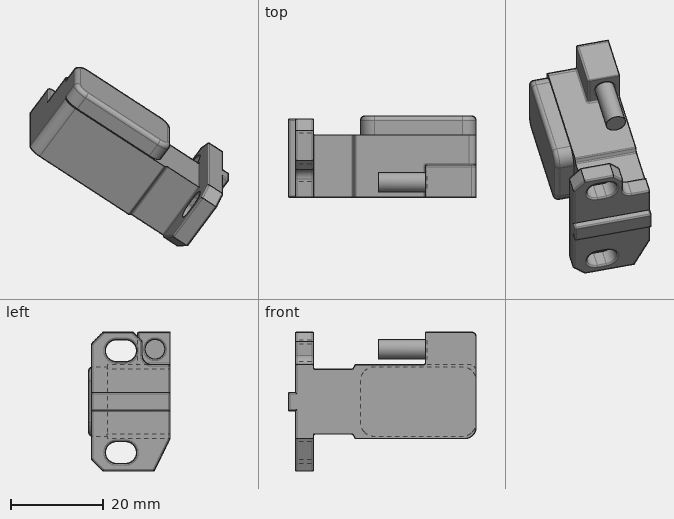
import cadquery as cq
import math

length = 40.55
height = 30.0
plate_front = 1.5
plate_back = 5.47
plate_width = 16.95
far_corner_cut = 2.5
near_corner_cut = 2.0
notch_width = 6.0
notch_radius = 2.0
flank_width = 3.45
plate_edge_radius = 0.32

rib_height = 4.0
rib_edge_radius = 0.32

slot_diameter = 4.7
slot_spread = 2.0
slot_y = 10.6
slot_edge_distance = 4.0
slot_mouth_radius = 0.35

mid_z = height / 2
body_width = 13.5
body_height = 16.0
neck_height = 14.07
body_bottom = mid_z - body_height / 2
body_top = mid_z + body_height / 2
neck_bottom = mid_z - neck_height / 2
neck_top = mid_z + neck_height / 2
step_start = 13.9
step_angle = 60.0
step_radius = 0.32
neck_root_radius = 0.2
body_top_radius = 1.5
body_bottom_radius = 2.5

pad_start = 15.57
pad_size_z = 15.0
pad_corner_radius = 3.0
pad_top = 17.6
pad_edge_radius = 1.0

block_start = 29.55
block_width = 7.0
block_back_radius = 1.0
block_side_radius = 0.4
block_front_radius = 0.2
block_root_radius = 0.32

pin_diameter = 4.25
pin_start = 19.42
pin_y = 3.25
pin_z = 26.3
pin_seat_radius = 0.32
pin_seat_depth = 2.03

overlap = 0.4


def make_plate():
    """Notched plate, rounded all round on its front and back faces."""
    outline = (
        cq.Workplane("YZ", origin=(plate_front, 0, 0))
        .moveTo(flank_width, 0)
        .lineTo(plate_width - far_corner_cut, 0)
        .lineTo(plate_width, far_corner_cut)
        .lineTo(plate_width, height - far_corner_cut)
        .lineTo(plate_width - far_corner_cut, height)
        .lineTo(notch_width + near_corner_cut, height)
        .lineTo(notch_width, height - near_corner_cut)
        .lineTo(notch_width, body_top + notch_radius)
        .radiusArc((notch_width - notch_radius, body_top), notch_radius)
        .lineTo(0, body_top)
        .lineTo(0, body_bottom)
        .close()
    )
    plate = outline.extrude(plate_back - plate_front)
    plate = plate.faces("<X").edges().fillet(plate_edge_radius)
    near_side = cq.selectors.BoxSelector(
        (plate_back - overlap, -overlap, 0), (plate_back + overlap, overlap, height)
    )
    return plate.faces(">X").edges(cq.selectors.InverseSelector(near_side)).fillet(plate_edge_radius)


def make_rib():
    """Bar across the plate face, with rounded front and end edges."""
    rib = cq.Workplane("XY").box(
        plate_back - overlap, plate_width, rib_height, centered=(False, False, True)
    )
    rib = rib.translate((0, 0, mid_z))
    return rib.faces("<X or <Y or >Y").edges("not >X").fillet(rib_edge_radius)


def cut_slots(plate):
    """Two slots along Y, each with a rounded mouth on the front face."""
    for z in (slot_edge_distance, height - slot_edge_distance):
        slot = (
            cq.Workplane("YZ", origin=(plate_front, slot_y, z))
            .slot2D(slot_diameter + slot_spread, slot_diameter)
            .extrude(plate_back - plate_front)
        )
        plate = plate.cut(slot)
    mouths = plate.faces("<X").val().innerWires()
    mouth_edges = [edge for mouth in mouths for edge in mouth.Edges()]
    return plate.newObject(mouth_edges).fillet(slot_mouth_radius)


def make_body():
    """Body profile with a sloped, rounded step from neck to full height."""
    step_end = step_start + (body_top - neck_top) / math.tan(math.radians(step_angle))
    body = (
        cq.Workplane("XZ")
        .moveTo(plate_front + overlap, neck_bottom)
        .lineTo(step_start, neck_bottom)
        .lineTo(step_end, body_bottom)
        .lineTo(length, body_bottom)
        .lineTo(length, body_top)
        .lineTo(step_end, body_top)
        .lineTo(step_start, neck_top)
        .lineTo(plate_front + overlap, neck_top)
        .close()
        .extrude(-body_width)
    )
    step_zone = cq.selectors.BoxSelector(
        (step_start - overlap, 0, 0), (step_end + overlap, body_width, height)
    )
    body = body.edges("|Y").edges(step_zone).fillet(step_radius)
    body = body.edges("|Y and >X and >Z").fillet(body_top_radius)
    return body.edges("|Y and >X and <Z").fillet(body_bottom_radius)


def make_pad():
    """Rounded pad standing out of the body's +Y side, flush with its +X end."""
    pad = cq.Workplane("XY").box(
        length - pad_start, pad_top - body_width + overlap, pad_size_z, centered=(False, False, True)
    )
    pad = pad.translate((pad_start, body_width - overlap, mid_z))
    pad = pad.edges("|Y").fillet(pad_corner_radius)
    return pad.faces(">Y").edges().fillet(pad_edge_radius)


def make_block():
    """Block on the near back corner, rooted below the body's rounded top corner."""
    bottom = body_top - body_top_radius - overlap
    block = cq.Workplane("XY").box(
        length - block_start, block_width, height - bottom, centered=False
    )
    block = block.translate((block_start, 0, bottom))
    block = block.edges("|Y and >X and >Z").fillet(block_back_radius)
    block = block.edges("|Y and <X and >Z").fillet(block_front_radius)
    return block.edges("|Z and <X and >Y").fillet(block_side_radius)


def round_block_root(part):
    """Fillet the inside corner where the block meets the top of the body."""
    root_zone = cq.selectors.BoxSelector(
        (block_start - overlap, 0, body_top - overlap / 2),
        (length - body_top_radius, block_width + overlap, body_top + overlap / 2),
    )
    return part.edges(root_zone).edges("|X").fillet(block_root_radius)


def round_neck_root(part):
    """Fillet the inside corner between the neck and the back of the plate."""
    root_zone = cq.selectors.BoxSelector(
        (plate_back - overlap / 2, overlap, neck_bottom - overlap / 2),
        (plate_back + overlap / 2, body_width + overlap, neck_top + overlap / 2),
    )
    return part.edges(root_zone).fillet(neck_root_radius)


def add_pin(part):
    """Stand the pin in a blind hole with a rounded mouth on the block's front face."""
    hole = (
        cq.Workplane("YZ", origin=(block_start, pin_y, pin_z))
        .circle(pin_diameter / 2)
        .extrude(pin_seat_depth)
    )
    part = part.cut(hole)
    mouth = cq.selectors.NearestToPointSelector((block_start, pin_y, pin_z))
    part = part.edges(mouth).fillet(pin_seat_radius)
    pin = (
        cq.Workplane("YZ", origin=(pin_start, pin_y, pin_z))
        .circle(pin_diameter / 2)
        .extrude(block_start + pin_seat_depth - pin_start)
    )
    return part.union(pin)


result = cut_slots(make_plate()).union(make_rib())
result = round_neck_root(result.union(make_body()))
result = round_block_root(result.union(make_block()))
result = add_pin(result).union(make_pad())